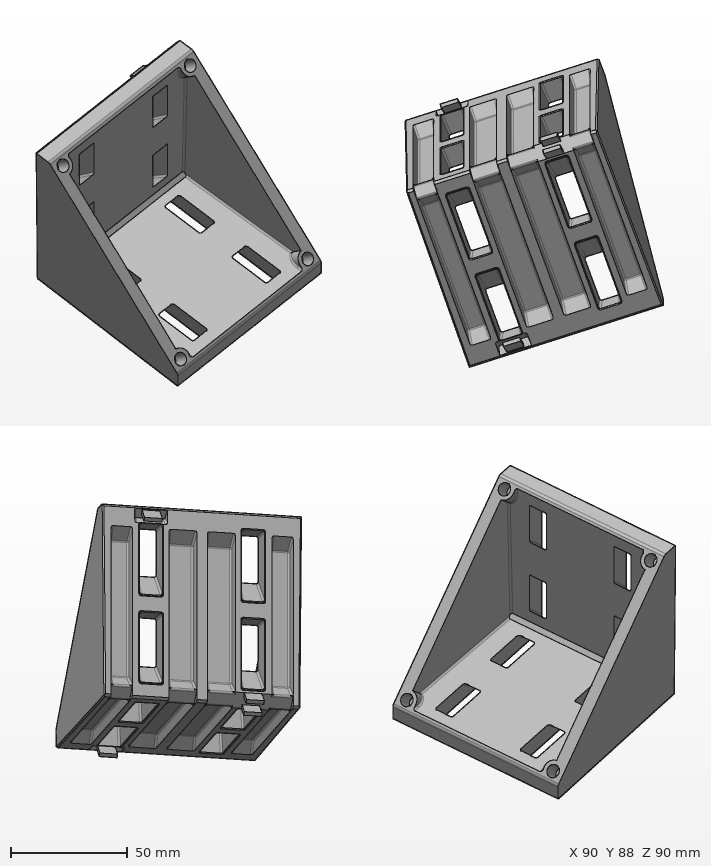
import cadquery as cq
import math


leg = 85.75
land = 8.6
half_width = 44.0
half_width_at_heel = 43.2
outer_chamfer = 1.1
side_chamfer = 0.6
slope_round = 2.0
slope_sum = leg + land
slope_depth = slope_sum / math.sqrt(2)
beyond = 2 * leg

wall = 10.1
inner_bevel = 1.9
cavity_half_width = 38.3
cavity_half_width_at_heel = 36.35
cavity_round = 0.9

screw_inset = 12.0
screw_x = [screw_inset, slope_sum - screw_inset]
screw_y = 39.0
screw_diameter = 5.85
screw_depth = 9.0
boss_radius = 4.8

channels = [(35.45, 9.4), (8.5, 12.2), (-8.5, 12.2), (-35.45, 9.4)]
channel_depth = 5.3
channel_low = 5.0
channel_high = 76.1
channel_draft = 0.5
channel_round = 0.9
ridge_round = 0.8
heel_cut = 5.5

slot_y = 22.5
slot_width = 10.1
slot_draft = 0.5
slot_round = 0.9
slot_rim = 0.45
upper_slot = (46.1, 78.2)
lower_slot = (6.9, 38.6)
slot_foot_rise = 11.2
short_foot_rise = wall

tab_width = 7.8
tab_thickness = 1.8
tab_embed = 0.9
tab_reach = 4.2
heel_tab_height = 5.5
end_tab_height = 83.7
heel_notch_width = 18.0
end_notch_width = 14.4
end_notch_low = 78.1
end_notch_high = 84.4
end_notch_draft = 0.5
end_notch_round = 0.9


def diagonal_point(total, difference):
    """The (X, Z) point where X + Z = total and Z - X = difference."""
    return ((total - difference) / 2, (total + difference) / 2)


def prism(points, y_center, width):
    """Extrude an outline of (X, Z) points along Y, centred on y_center."""
    outline = cq.Workplane("XZ", origin=(0, y_center, 0)).polyline(points).close()
    return outline.extrude(width / 2, both=True)


def diagonal_wedge(half_at_heel, half_at_slope):
    """Solid whose half width grows evenly from the heel to the sloping side."""
    diagonal = cq.Plane(origin=(0, 0, 0), xDir=(1, 0, 1), normal=(-1, 0, 1))
    growth = (half_at_slope - half_at_heel) / slope_depth
    half_far = half_at_slope + growth * slope_depth
    far = 2 * slope_depth
    points = [(0, -half_at_heel), (far, -half_far), (far, half_far), (0, half_at_heel)]
    return cq.Workplane(diagonal).polyline(points).close().extrude(beyond, both=True)


def tapered_tool(points, y_center, width, draft, depth):
    """Prism of the given width at X = 0, narrowed by draft per flank at X = depth."""
    start = -depth
    outer = width / 2 + draft
    floor = width / 2 - draft
    flanks = [
        (start, y_center - outer),
        (depth, y_center - floor),
        (depth, y_center + floor),
        (start, y_center + outer),
    ]
    wedge = cq.Workplane("XY").polyline(flanks).close().extrude(beyond, both=True)
    return prism(points, y_center, 2 * outer).intersect(wedge)


def on_both_faces(tool):
    """Join a tool on the X = 0 face with its mirror image on the Z = 0 face."""
    return tool.union(tool.mirror((1, 0, -1)))


def make_body():
    c = outer_chamfer
    outline = [
        (0, c), (0, leg - c), (c, leg), (land, leg),
        (leg, land), (leg, c), (leg - c, 0), (c, 0),
    ]
    body = prism(outline, 0, 2 * half_width)
    for corner in ((land, 0, leg), (leg, 0, land)):
        edge = body.edges(cq.selectors.NearestToPointSelector(corner))
        body = edge.fillet(slope_round)
    body = body.intersect(diagonal_wedge(half_width_at_heel, half_width))
    for face in ("<X", "<Z"):
        body = body.faces(face).edges("not |Y").chamfer(side_chamfer)
    return body


def screw_axis(x, y):
    """Workplane on the sloping side, facing inwards at the given X and Y."""
    inward = cq.Plane(origin=(x, y, slope_sum - x), xDir=(0, 1, 0), normal=(-1, 0, -1))
    return cq.Workplane(inward)


def make_cavity():
    outline = [
        (wall, wall + inner_bevel), (wall, beyond), (beyond, beyond),
        (beyond, wall), (wall + inner_bevel, wall),
    ]
    wedge = diagonal_wedge(cavity_half_width_at_heel, cavity_half_width)
    cavity = prism(outline, 0, 4 * half_width).intersect(wedge)
    for x in screw_x:
        for y in (screw_y, -screw_y):
            boss = screw_axis(x, y).circle(boss_radius).extrude(beyond)
            toward_end = math.copysign(boss_radius, x - slope_sum / 2)
            corner = screw_axis(x + toward_end / math.sqrt(2), y)
            corner = corner.rect(2 * boss_radius, 2 * boss_radius).extrude(beyond)
            cavity = cavity.cut(boss).cut(corner)
    for face in ("<X", "<Z"):
        cavity = cavity.faces(face).edges("not |Y").fillet(cavity_round)
    return cavity


def make_channels():
    d = channel_depth
    outline = [
        (-d, channel_high + d), (d, channel_high - d),
        (d, channel_low + d), (-d, channel_low - d),
    ]
    bevel = [(-heel_cut, -heel_cut), (2 * heel_cut, -heel_cut), (-heel_cut, 2 * heel_cut)]
    tools = cq.Workplane()
    for y, width in channels:
        channel = tapered_tool(outline, y, width, channel_draft, d)
        channel = channel.edges("not <X").fillet(channel_round)
        tools = tools.add(on_both_faces(channel)).add(prism(bevel, y, width))
        tools = tools.add(make_ridge_rounding(y, width))
    tools = tools.add(prism(bevel, -slot_y, heel_notch_width))
    return tools.combine()


def make_ridge_rounding(y, width):
    """Sliver that rounds the edge between a channel end and the heel bevel."""
    r = ridge_round * math.sqrt(2)
    bulge = r * (1 - math.cos(math.pi / 4))
    sliver = (
        cq.Workplane("XZ", origin=(0, y, 0))
        .moveTo(*diagonal_point(heel_cut, channel_low))
        .lineTo(*diagonal_point(heel_cut + r, channel_low))
        .threePointArc(
            diagonal_point(heel_cut + bulge, channel_low - bulge),
            diagonal_point(heel_cut, channel_low - r),
        )
        .close()
        .extrude(width / 2, both=True)
    )
    return on_both_faces(sliver)


def make_slot(span, side, rise):
    low, high = span
    depth = wall + cavity_round
    slope = rise / wall
    outline = [
        (-depth, low - depth * slope), (depth, low + depth * slope),
        (depth, high), (-depth, high),
    ]
    slot = tapered_tool(outline, side * slot_y, slot_width, slot_draft, depth)
    slot = slot.edges("not(<X or >X)").edges("not |Y").edges("not |Z").fillet(slot_round)
    rim = (
        cq.Workplane("YZ", origin=(0, side * slot_y, (low + high) / 2))
        .rect(slot_width + 2 * slot_rim, high - low + 2 * slot_rim)
        .extrude(slot_rim, both=True)
        .edges("|X")
        .fillet(slot_round + slot_rim)
        .faces(">X")
        .chamfer(slot_rim)
    )
    return on_both_faces(slot.union(rim))


def make_tab(side, height, root_sum):
    """Tab whose upper side is Z - X = height, rooted on the plane X + Z = root_sum."""
    drop = tab_thickness * math.sqrt(2)
    tip_sum = height - 2 * tab_reach
    root = root_sum + tab_embed
    outline = [
        diagonal_point(tip_sum, height), diagonal_point(root, height),
        diagonal_point(root, height - drop), diagonal_point(tip_sum, height - drop),
    ]
    return on_both_faces(prism(outline, side * slot_y, tab_width))


def make_end_notch():
    depth = (end_notch_high - end_notch_low) / 2
    outline = [
        (-depth, end_notch_low - depth), (depth, end_notch_low + depth),
        (-depth, end_notch_high + depth),
    ]
    notch = tapered_tool(outline, slot_y, end_notch_width, end_notch_draft, depth)
    notch = notch.faces("<Z").edges("not |Y").fillet(end_notch_round)
    return on_both_faces(notch)


result = make_body().cut(make_cavity()).cut(make_channels())
result = result.cut(make_end_notch())
for side, heel_rise in ((1, short_foot_rise), (-1, slot_foot_rise)):
    result = result.cut(make_slot(upper_slot, side, slot_foot_rise))
    result = result.cut(make_slot(lower_slot, side, heel_rise))
for x in screw_x:
    for y in (screw_y, -screw_y):
        result = result.cut(screw_axis(x, y).circle(screw_diameter / 2).extrude(screw_depth))
result = result.union(make_tab(1, end_tab_height, end_notch_high))
result = result.union(make_tab(-1, heel_tab_height, heel_cut))